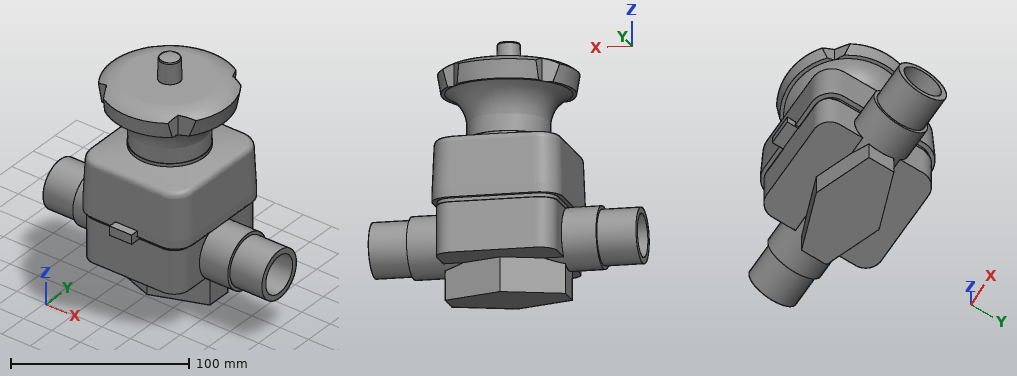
import cadquery as cq
import math


bonnet_length = 75.0
bonnet_width = 80.0
bonnet_corner_radius = 13.1
bonnet_bottom_z = 18.5
taper_start_z = 23.8
roof_edge_z = 54.0
neck_bottom_z = 57.2
neck_radius = 24.0
neck_top_z = 59.2
wall_lean = 1.1
roof_fillet = 3.7
edge_margin = 0.2

diaphragm_inset = 2.8
diaphragm_length = bonnet_length - 2 * diaphragm_inset
diaphragm_width = bonnet_width - 2 * diaphragm_inset
diaphragm_corner_radius = bonnet_corner_radius - diaphragm_inset
diaphragm_bottom_z = 16.2
tab_width = 15.5
tab_top_z = 22.4
tab_tip_y = -45.5

pipe_length = 154.5
pipe_diameter = 32.0
bore_diameter = 24.9
collar_length = 109.4
collar_diameter = 36.0
body_length = diaphragm_length
body_width = 76.5
body_corner_radius = diaphragm_corner_radius
body_bottom_z = -13.0
body_top_z = diaphragm_bottom_z
foot_bottom_z = -33.0
foot_end_width = 16.7
foot_middle_width = 42.0

hub_radius = 23.6
hub_top_z = 69.0
flare_mid_radius = 27.2
flare_mid_z = 78.8
flare_top_radius = 36.0
rim_bottom_z = 86.0
rim_bottom_radius = 38.2
rim_top_z = 96.7
rim_top_radius = 40.0
wheel_top_z = 101.0
wheel_flat_radius = 27.8

notch_count = 4
notch_first_angle = 45.0
notch_root_radius = 35.8
notch_short_angle = 9.0
notch_long_angle = 14.0
notch_reach = 2.0

pin_base_radius = 7.0
pin_shoulder_radius = 6.5
pin_shoulder_z = 114.3
pin_crown_radius = 6.0
pin_crown_z = 115.1
pin_top_z = 115.7


def rounded_plate(length, width, corner_radius, bottom_z, top_z):
    """Upright block with rounded vertical edges, centred on the Z axis."""
    plate = cq.Workplane("XY").workplane(offset=bottom_z).rect(length, width).extrude(top_z - bottom_z)
    return plate.edges("|Z").fillet(corner_radius)


def x_cylinder(length, diameter):
    """Cylinder along X, centred on the origin."""
    return cq.Workplane("YZ").circle(diameter / 2).extrude(length / 2, both=True)



def make_valve_body():
    block = rounded_plate(body_length, body_width, body_corner_radius, body_bottom_z, body_top_z)
    half_length = body_length / 2
    half_end = foot_end_width / 2
    half_middle = foot_middle_width / 2
    foot = (
        cq.Workplane("XY")
        .workplane(offset=foot_bottom_z)
        .polyline([
            (half_length, -half_end),
            (half_length, half_end),
            (0, half_middle),
            (-half_length, half_end),
            (-half_length, -half_end),
            (0, -half_middle),
        ])
        .close()
        .extrude(body_bottom_z - foot_bottom_z)
    )
    pipe = x_cylinder(pipe_length, pipe_diameter)
    collar = x_cylinder(collar_length, collar_diameter)
    collar_cap = (
        cq.Workplane("XY")
        .workplane(offset=body_top_z)
        .rect(body_length, body_width)
        .extrude(collar_diameter)
    )
    solid = block.union(foot).union(collar.cut(collar_cap)).union(pipe)
    return solid.cut(x_cylinder(pipe_length, bore_diameter))



def make_diaphragm():
    plate = rounded_plate(
        diaphragm_length,
        diaphragm_width,
        diaphragm_corner_radius,
        diaphragm_bottom_z,
        bonnet_bottom_z,
    )
    bonnet_face_y = -bonnet_width / 2
    tongue = (
        cq.Workplane("XY")
        .box(tab_width, -tab_tip_y, bonnet_bottom_z - diaphragm_bottom_z, centered=(True, False, False))
        .translate((0, tab_tip_y, diaphragm_bottom_z))
    )
    lug = (
        cq.Workplane("XY")
        .box(tab_width, bonnet_face_y - tab_tip_y, tab_top_z - diaphragm_bottom_z, centered=(True, False, False))
        .translate((0, tab_tip_y, diaphragm_bottom_z))
    )
    return plate.union(tongue).union(lug)



def rounded_rectangle_wire(length, width, corner_radius, z):
    """Level outline of four sides and four corner arcs, starting at the -Y end of the +X side."""
    half_x = length / 2
    half_y = width / 2
    flat_x = half_x - corner_radius
    flat_y = half_y - corner_radius
    bulge = corner_radius * math.sqrt(0.5)
    return (
        cq.Workplane("XY")
        .workplane(offset=z)
        .moveTo(half_x, -flat_y)
        .lineTo(half_x, flat_y)
        .threePointArc((flat_x + bulge, flat_y + bulge), (flat_x, half_y))
        .lineTo(-flat_x, half_y)
        .threePointArc((-flat_x - bulge, flat_y + bulge), (-half_x, flat_y))
        .lineTo(-half_x, -flat_y)
        .threePointArc((-flat_x - bulge, -flat_y - bulge), (-flat_x, -half_y))
        .lineTo(flat_x, -half_y)
        .threePointArc((flat_x + bulge, -flat_y - bulge), (half_x, -flat_y))
        .close()
        .val()
    )


def divided_circle_wire(radius, split_angles, z):
    """Circle made of arcs that meet at the given angles in degrees."""
    def point(angle):
        return (radius * math.cos(math.radians(angle)), radius * math.sin(math.radians(angle)))

    circle = cq.Workplane("XY").workplane(offset=z).moveTo(*point(split_angles[0]))
    for start, end in zip(split_angles, split_angles[1:] + [split_angles[0] + 360]):
        circle = circle.threePointArc(point((start + end) / 2), point(end))
    return circle.close().val()


def make_bonnet():
    skirt = rounded_plate(
        bonnet_length, bonnet_width, bonnet_corner_radius, bonnet_bottom_z, taper_start_z
    )
    roof_length = bonnet_length - 2 * wall_lean
    roof_width = bonnet_width - 2 * wall_lean
    wall_foot = rounded_rectangle_wire(bonnet_length, bonnet_width, bonnet_corner_radius, taper_start_z)
    roof_edge = rounded_rectangle_wire(roof_length, roof_width, bonnet_corner_radius, roof_edge_z)
    walls = cq.Workplane(cq.Solid.makeLoft([wall_foot, roof_edge], True))

    half_side_x = roof_length / 2 - bonnet_corner_radius
    half_side_y = roof_width / 2 - bonnet_corner_radius
    quarter_outline = half_side_x + half_side_y + bonnet_corner_radius * math.pi / 2
    side_angle = 90 * half_side_y / quarter_outline
    end_angle = 90 - 90 * half_side_x / quarter_outline
    split_angles = [
        -side_angle, side_angle, end_angle, 180 - end_angle,
        180 - side_angle, 180 + side_angle, 180 + end_angle, 360 - end_angle,
    ]
    neck_circle = divided_circle_wire(neck_radius, split_angles, neck_bottom_z)
    roof = cq.Workplane(cq.Solid.makeLoft([roof_edge, neck_circle], True))

    shell = walls.union(roof)
    roof_rim = cq.selectors.BoxSelector(
        (-bonnet_length, -bonnet_width, roof_edge_z - edge_margin),
        (bonnet_length, bonnet_width, roof_edge_z + edge_margin),
    )
    shell = shell.edges(roof_rim).fillet(roof_fillet)
    neck = (
        cq.Workplane("XY")
        .workplane(offset=neck_bottom_z)
        .circle(neck_radius)
        .extrude(neck_top_z - neck_bottom_z)
    )
    return skirt.union(shell).union(neck)



def notch_cutter():
    """Upright V-shaped prism whose root edge lies on the +X axis, the two sides leaning unequally."""
    root = (notch_root_radius, 0)

    def side_end(angle):
        rim_x = rim_top_radius * math.cos(math.radians(angle))
        rim_y = rim_top_radius * math.sin(math.radians(angle))
        return (root[0] + notch_reach * (rim_x - root[0]), notch_reach * rim_y)

    return (
        cq.Workplane("XY")
        .workplane(offset=rim_bottom_z)
        .polyline([root, side_end(-notch_short_angle), side_end(notch_long_angle)])
        .close()
        .extrude(wheel_top_z - rim_bottom_z)
    )


def tangent_arc_middle(flat_radius, top_z, edge_radius, edge_z):
    """Middle point of the arc that leaves a level top at flat_radius and drops to the edge."""
    run = edge_radius - flat_radius
    drop = top_z - edge_z
    arc_radius = (run ** 2 + drop ** 2) / (2 * drop)
    half_sweep = math.atan2(drop, run)
    return (
        flat_radius + arc_radius * math.sin(half_sweep),
        top_z - arc_radius * (1 - math.cos(half_sweep)),
    )


def make_handwheel():
    dome_middle = tangent_arc_middle(wheel_flat_radius, wheel_top_z, rim_top_radius, rim_top_z)
    crown_middle = tangent_arc_middle(0, pin_top_z, pin_crown_radius, pin_crown_z)
    wheel = (
        cq.Workplane("XZ")
        .moveTo(0, neck_top_z)
        .lineTo(hub_radius, neck_top_z)
        .lineTo(hub_radius, hub_top_z)
        .threePointArc((flare_mid_radius, flare_mid_z), (flare_top_radius, rim_bottom_z))
        .lineTo(rim_bottom_radius, rim_bottom_z)
        .lineTo(rim_top_radius, rim_top_z)
        .threePointArc(dome_middle, (wheel_flat_radius, wheel_top_z))
        .lineTo(0, wheel_top_z)
        .close()
        .revolve(360, (0, 0, 0), (0, 1, 0))
    )
    for i in range(notch_count):
        angle = notch_first_angle + i * 360 / notch_count
        wheel = wheel.cut(notch_cutter().rotate((0, 0, 0), (0, 0, 1), angle))
    pin = (
        cq.Workplane("XZ")
        .moveTo(0, wheel_top_z)
        .lineTo(pin_base_radius, wheel_top_z)
        .lineTo(pin_shoulder_radius, pin_shoulder_z)
        .lineTo(pin_crown_radius, pin_crown_z)
        .threePointArc(crown_middle, (0, pin_top_z))
        .close()
        .revolve(360, (0, 0, 0), (0, 1, 0))
    )
    return wheel.union(pin)


valve_body = make_valve_body()
diaphragm = make_diaphragm()
bonnet = make_bonnet()
handwheel = make_handwheel()

result = cq.Compound.makeCompound([
    valve_body.val(),
    diaphragm.val(),
    bonnet.val(),
    handwheel.val(),
])